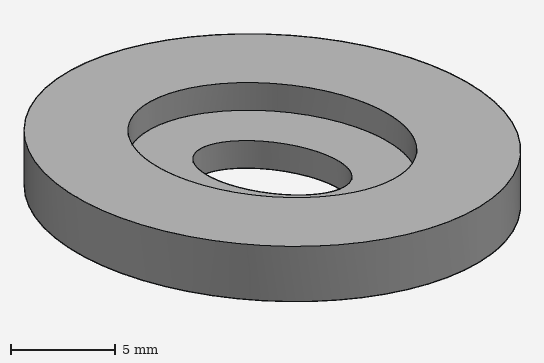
import cadquery as cq

length = 24.25
width = 21.25
thickness = 3.0

rim_width = 5.0
recess_length = length - 2 * rim_width
recess_width = width - 2 * rim_width
recess_depth = thickness / 2

hole_length = 8.0
hole_width = 5.0


def elliptical_disc(x_size, y_size, height):
    """Elliptical disc standing on the XY plane, centred on the Z axis."""
    return cq.Workplane("XY").ellipse(x_size / 2, y_size / 2).extrude(height)


body = elliptical_disc(length, width, thickness)
recess = elliptical_disc(recess_length, recess_width, recess_depth).translate(
    (0, 0, thickness - recess_depth)
)
hole = elliptical_disc(hole_length, hole_width, thickness)

result = body.cut(recess).cut(hole)